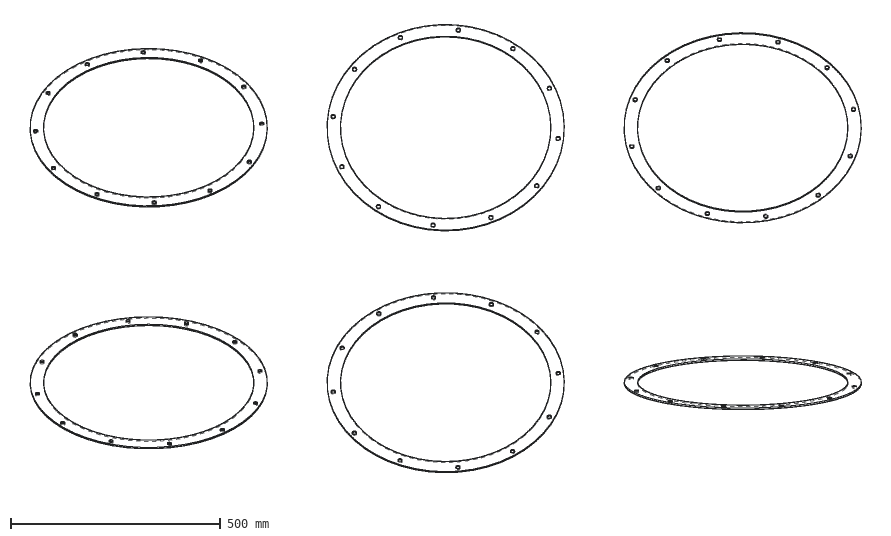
import cadquery as cq

outer_diameter = 567.0
inner_diameter = 502.5
thickness = 4.0
bolt_circle_diameter = 541.0
bolt_hole_diameter = 10.0
bolt_hole_count = 12

ring = (
    cq.Workplane("XY")
    .circle(outer_diameter / 2)
    .circle(inner_diameter / 2)
    .extrude(thickness)
)

bolt_holes = (
    cq.Workplane("XY")
    .polarArray(bolt_circle_diameter / 2, 0, 360, bolt_hole_count)
    .circle(bolt_hole_diameter / 2)
    .extrude(thickness)
)

result = ring.cut(bolt_holes)